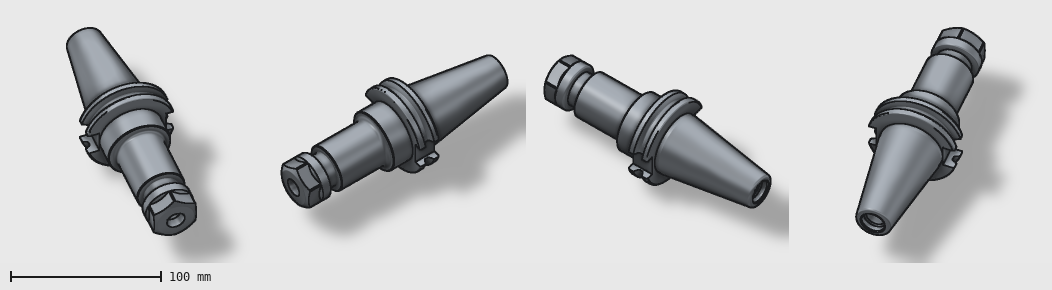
import cadquery as cq
import math


gauge_dia = 44.45
taper_length = 68.25
taper_ratio = 7 / 24
shank_end_x = -taper_length
shank_end_dia = gauge_dia - taper_length * taper_ratio
shank_end_fillet = 2.0

flange_dia = 63.5
flange_start_x = 3.175
flange_end_x = 19.05
flange_edge_fillet = 1.0
groove_center_x = 11.1
groove_mouth_width = 7.25
groove_floor_dia = 56.3
groove_half_angle = math.radians(30)
groove_root_fillet = 0.8
slot_width = 17.15
front_slot_floor_y = -22.5
back_slot_floor_y = 25.0

collar_end_x = 34.925
collar_bevel = 0.5
body_dia = 34.0
body_end_x = 74.3
body_bevel = 0.5
body_root_fillet = 3.0
neck_dia = 25.0
neck_root_fillet = 0.4

nut_length = 19.0
nut_end_x = 101.6
nut_start_x = nut_end_x - nut_length
nut_dia = body_dia
nut_rim_fillet = 1.5
nut_collar_length = 7.2
hex_sides = 6
hex_across_flats = 30.0
hex_runout_length = 1.8
nut_face_dia = 26.0
nut_bevel_angle = math.radians(30)
nut_face_fillet = 1.4

thread_engagement = 12.0
neck_end_x = nut_start_x + thread_engagement

bore_dia = 12.75
mouth_dia = 17.6
mouth_bevel_length = 0.9
pilot_dia = 16.3
pilot_depth = 2.8
relief_cone_length = 1.3
relief_dia = 15.71
relief_depth = 4.6
thread_minor_dia = 13.49
thread_length = 20.0


def revolve_about_x(profile):
    return profile.close().revolve(360, (0, 0, 0), (1, 0, 0))


def make_shank():
    profile = (
        cq.Workplane("XY")
        .moveTo(shank_end_x, 0)
        .lineTo(shank_end_x, shank_end_dia / 2)
        .lineTo(0, gauge_dia / 2)
        .lineTo(collar_end_x - collar_bevel, gauge_dia / 2)
        .lineTo(collar_end_x, gauge_dia / 2 - collar_bevel)
        .lineTo(collar_end_x, body_dia / 2 + body_root_fillet)
        .radiusArc((collar_end_x + body_root_fillet, body_dia / 2), -body_root_fillet)
        .lineTo(body_end_x - body_bevel, body_dia / 2)
        .lineTo(body_end_x, body_dia / 2 - body_bevel)
        .lineTo(body_end_x, neck_dia / 2 + neck_root_fillet)
        .radiusArc((body_end_x + neck_root_fillet, neck_dia / 2), -neck_root_fillet)
        .lineTo(neck_end_x, neck_dia / 2)
        .lineTo(neck_end_x, 0)
    )
    shank = revolve_about_x(profile)
    return shank.faces("<X").edges().fillet(shank_end_fillet)


def make_flange():
    flange = (
        cq.Workplane("YZ", origin=(flange_start_x, 0, 0))
        .circle(flange_dia / 2)
        .extrude(flange_end_x - flange_start_x)
        .faces("<X or >X")
        .fillet(flange_edge_fillet)
    )
    return flange.cut(make_gripper_groove()).cut(make_driving_slots())


def make_gripper_groove():
    floor_radius = groove_floor_dia / 2
    rim_radius = flange_dia / 2
    half_mouth = groove_mouth_width / 2
    half_floor = half_mouth - (rim_radius - floor_radius) * math.tan(groove_half_angle)
    profile = (
        cq.Workplane("XY", origin=(groove_center_x, 0, 0))
        .moveTo(-half_floor, floor_radius)
        .lineTo(half_floor, floor_radius)
        .lineTo(half_mouth, rim_radius)
        .lineTo(-half_mouth, rim_radius)
    )
    groove = revolve_about_x(profile)
    floor_edges = cq.selectors.RadiusNthSelector(0)
    return groove.edges(floor_edges).fillet(groove_root_fillet)


def make_driving_slots():
    slots = cq.Workplane("XY")
    for floor_y in (front_slot_floor_y, back_slot_floor_y):
        rim_y = math.copysign(flange_dia / 2, floor_y)
        slots = slots.union(
            cq.Workplane("XY")
            .box(flange_end_x - flange_start_x, abs(rim_y - floor_y), slot_width)
            .translate(((flange_start_x + flange_end_x) / 2, (rim_y + floor_y) / 2, 0))
        )
    return slots


def make_bore():
    relief_start_x = shank_end_x + pilot_depth + relief_cone_length
    thread_start_x = shank_end_x + relief_depth + (relief_dia - thread_minor_dia) / 2
    thread_end_x = thread_start_x + thread_length
    profile = (
        cq.Workplane("XY")
        .moveTo(shank_end_x, 0)
        .lineTo(shank_end_x, mouth_dia / 2)
        .lineTo(shank_end_x + mouth_bevel_length, pilot_dia / 2)
        .lineTo(shank_end_x + pilot_depth, pilot_dia / 2)
        .lineTo(relief_start_x, relief_dia / 2)
        .lineTo(shank_end_x + relief_depth, relief_dia / 2)
        .lineTo(thread_start_x, thread_minor_dia / 2)
        .lineTo(thread_end_x, thread_minor_dia / 2)
        .lineTo(thread_end_x, bore_dia / 2)
        .lineTo(nut_end_x, bore_dia / 2)
        .lineTo(nut_end_x, 0)
    )
    return revolve_about_x(profile)


def make_nut_blank():
    bevel_length = (nut_dia - nut_face_dia) / 2 * math.tan(nut_bevel_angle)
    profile = (
        cq.Workplane("XY")
        .moveTo(nut_start_x, 0)
        .lineTo(nut_start_x, nut_dia / 2 - nut_rim_fillet)
        .radiusArc((nut_start_x + nut_rim_fillet, nut_dia / 2), nut_rim_fillet)
        .lineTo(nut_end_x - bevel_length, nut_dia / 2)
        .lineTo(nut_end_x, nut_face_dia / 2)
        .lineTo(nut_end_x, 0)
    )
    return revolve_about_x(profile).faces(">X").edges().fillet(nut_face_fillet)


def make_hex_waste():
    hex_start_x = nut_start_x + nut_collar_length
    flat_radius = hex_across_flats / 2
    profile = (
        cq.Workplane("XY")
        .moveTo(hex_start_x, nut_dia)
        .lineTo(hex_start_x, nut_dia / 2)
        .lineTo(hex_start_x + hex_runout_length, flat_radius)
        .lineTo(nut_end_x, flat_radius)
        .lineTo(nut_end_x, nut_dia)
    )
    ring = revolve_about_x(profile)
    hexagon = (
        cq.Workplane("YZ", origin=(hex_start_x, 0, 0))
        .polygon(hex_sides, hex_across_flats, circumscribed=True)
        .extrude(nut_end_x - hex_start_x)
    )
    return ring.cut(hexagon)


def make_neck_recess():
    return (
        cq.Workplane("YZ", origin=(nut_start_x, 0, 0))
        .circle(neck_dia / 2)
        .extrude(thread_engagement)
    )


bore = make_bore()
holder = make_shank().union(make_flange()).cut(bore)
nut = make_nut_blank().cut(make_hex_waste()).cut(make_neck_recess()).cut(bore)

result = cq.Compound.makeCompound([holder.solids().val(), nut.solids().val()])